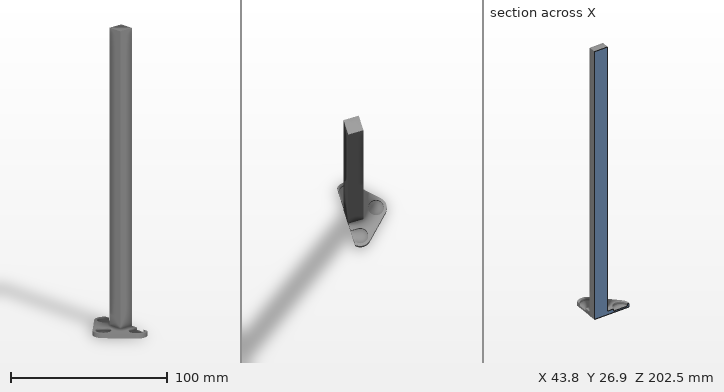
import cadquery as cq
import math

total_height = 202.5
plate_thickness = 3.0
corner_offset = 15.0
corner_radius = 6.9
back_edge = 4.9
post_width = 10.1
post_back = 5.0
pocket_diameter = 10.1
pocket_depth = 1.6

corner_centers = [(-corner_offset, 0), (corner_offset, 0), (0, -corner_offset)]


def make_plate():
    """Triangular plate with rounded corners, cut flat along the back."""
    diagonal = corner_radius * math.sin(math.radians(45))
    back_half_width = corner_offset + math.sqrt(corner_radius**2 - back_edge**2)
    side_x = corner_offset + diagonal
    front_y = -corner_offset - diagonal
    return (
        cq.Workplane("XY")
        .moveTo(-back_half_width, back_edge)
        .lineTo(back_half_width, back_edge)
        .threePointArc((corner_offset + corner_radius, 0), (side_x, -diagonal))
        .lineTo(diagonal, front_y)
        .threePointArc((0, -corner_offset - corner_radius), (-diagonal, front_y))
        .lineTo(-side_x, -diagonal)
        .threePointArc((-corner_offset - corner_radius, 0), (-back_half_width, back_edge))
        .close()
        .extrude(plate_thickness)
    )


def make_pockets():
    """Round blind pockets at the corners; the rear two have a straight inner wall open to the back."""
    pocket_radius = pocket_diameter / 2
    floor = cq.Workplane("XY", origin=(0, 0, plate_thickness - pocket_depth))
    pockets = floor.pushPoints(corner_centers).circle(pocket_radius).extrude(pocket_depth)
    opening_center_x = corner_offset - pocket_radius / 2
    openings = (
        floor.pushPoints([(-opening_center_x, back_edge / 2), (opening_center_x, back_edge / 2)])
        .rect(pocket_radius, back_edge)
        .extrude(pocket_depth)
    )
    return pockets.union(openings)


def make_post():
    """Square post reaching down to the underside of the plate."""
    return (
        cq.Workplane("XY")
        .center(0, post_back - post_width / 2)
        .rect(post_width, post_width)
        .extrude(total_height)
    )


result = make_plate().cut(make_pockets()).union(make_post())